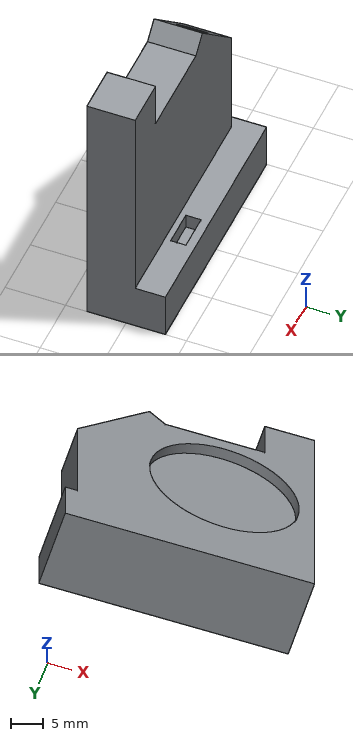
import cadquery as cq
import math

base_length = 40.0
base_height = 8.0
base_depth = 13.0
plate_thickness = 8.0

plate_left = 2.0
side_wall_top = 27.0
shoulder_run = 11.55
plate_top = 36.0
post_width = 8.0
post_top = 44.0
shoulder_peak_x = plate_left + shoulder_run
shoulder_peak_z = side_wall_top + shoulder_run
shoulder_lip = shoulder_peak_z - plate_top

recess_diameter = 24.0
recess_depth = 1.75
recess_x = 25.5
recess_z = 21.5

shoulder_hole_diameter = 5.0
shoulder_hole_depth = 7.05
shoulder_hole_x = 9.25
shoulder_hole_y = 4.58
shoulder_hole_z = side_wall_top + shoulder_hole_x - plate_left

pocket_length = 6.0
pocket_width = 2.5
pocket_depth = 2.5
pocket_x = 25.4
pocket_y = 10.25


def make_base():
    return cq.Workplane("XY").box(base_length, base_depth, base_height, centered=False)


def make_plate():
    post_left = base_length - post_width
    outline = [
        (plate_left, 0),
        (plate_left, side_wall_top),
        (shoulder_peak_x, shoulder_peak_z),
        (shoulder_peak_x + shoulder_lip, plate_top),
        (post_left, plate_top),
        (post_left, post_top),
        (base_length, post_top),
        (base_length, 0),
    ]
    return cq.Workplane("XZ").polyline(outline).close().extrude(-plate_thickness)


def make_recess():
    profile = cq.Workplane("XZ").center(recess_x, recess_z).circle(recess_diameter / 2)
    return profile.extrude(-recess_depth)


def make_shoulder_hole():
    slope = math.radians(45)
    inward = cq.Vector(math.sin(slope), 0, -math.cos(slope))
    mouth = cq.Vector(shoulder_hole_x, shoulder_hole_y, shoulder_hole_z)
    return cq.Solid.makeCylinder(shoulder_hole_diameter / 2, shoulder_hole_depth, mouth, inward)


def make_foot_pocket():
    top = cq.Workplane("XY", origin=(pocket_x, pocket_y, base_height))
    return top.rect(pocket_length, pocket_width).extrude(-pocket_depth)


result = make_base().union(make_plate())
result = result.cut(make_recess())
result = result.cut(cq.Workplane(make_shoulder_hole()))
result = result.cut(make_foot_pocket())